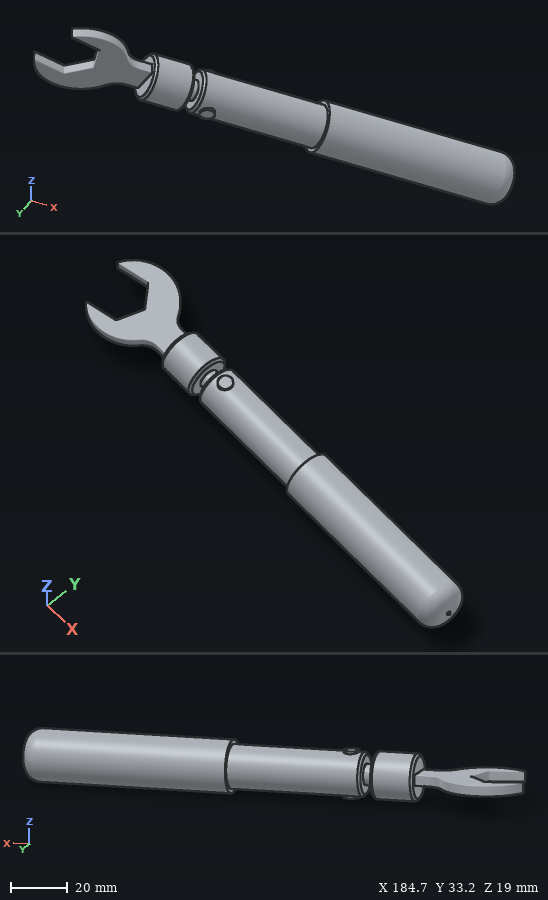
import cadquery as cq
import math

total_length = 184.7
collar_start = 40.3
collar_end = 56.0
body_start = 59.7
handle_start = 108.6
handle_end = 184.0
nub_radius = total_length - handle_end

collar_radius = 8.5
neck_radius = 7.5 / 2
body_radius = 8.0
handle_radius = 19.0 / 2
edge_chamfer = 1.0
handle_end_round = 5.4

pin_x = 65.0
pin_radius = 2.8
pin_half_length = 8.5

plate_thickness = 3.9
plate_edge_round = 0.4
head_radius = 16.6
head_x = 15.3
head_y = 0.46
shank_half_width = 5.5
shank_fillet = 7.4

jaw_x = 10.0
jaw_y = -1.2
jaw_across_flats = 19.0
jaw_angle = 12.6
jaw_corner_radius = jaw_across_flats / 2 / math.cos(math.pi / 6)


def cylinder_along_x(start, end, radius):
    return cq.Workplane("YZ", origin=(start, 0, 0)).circle(radius).extrude(end - start)


def upright_edges_between(start, end):
    """Selector for the plate edges lying between two stations along X."""
    return cq.selectors.BoxSelector(
        (start, -2 * head_radius, -plate_thickness),
        (end, 2 * head_radius, plate_thickness),
    )


def make_wrench_head():
    """Round head blended into a straight shank, with the hexagonal jaw cut out."""
    head = cq.Workplane("XY").center(head_x, head_y).circle(head_radius)
    head = head.extrude(plate_thickness / 2, both=True)
    shank_length = collar_end - head_x
    shank = cq.Workplane("XY").center(head_x + shank_length / 2, 0)
    shank = shank.rect(shank_length, 2 * shank_half_width)
    head = head.union(shank.extrude(plate_thickness / 2, both=True))

    joints = upright_edges_between(head_x, collar_start)
    head = head.edges("|Z").edges(joints).fillet(shank_fillet)

    hexagon = cq.Workplane("XY").polygon(6, 2 * jaw_corner_radius)
    hexagon = hexagon.extrude(plate_thickness, both=True)
    mouth_length = 2 * head_radius
    mouth = cq.Workplane("XY").center(-mouth_length / 2, 0)
    mouth = mouth.rect(mouth_length, jaw_across_flats).extrude(plate_thickness, both=True)
    jaw = hexagon.union(mouth).rotate((0, 0, 0), (0, 0, 1), jaw_angle)
    head = head.cut(jaw.translate((jaw_x, jaw_y, 0)))

    corners = upright_edges_between(jaw_x - head_radius, jaw_x + jaw_corner_radius)
    head = head.edges("|Z").edges(corners).fillet(plate_edge_round)
    return head.faces("<Z or >Z").edges().fillet(plate_edge_round)


def make_collar():
    collar = cylinder_along_x(collar_start, collar_end, collar_radius)
    return collar.faces("<X or >X").edges().chamfer(edge_chamfer)


def make_body():
    body = cylinder_along_x(body_start, handle_start, body_radius)
    return body.faces("<X").edges().chamfer(edge_chamfer)


def make_handle():
    """Grip with a fully rounded rear edge."""
    handle = cylinder_along_x(handle_start, handle_end, handle_radius)
    return handle.faces(">X").edges().fillet(handle_end_round)


def make_pin():
    pin = cq.Workplane("XY").center(pin_x, 0).circle(pin_radius)
    return pin.extrude(pin_half_length, both=True)


neck = cylinder_along_x(collar_start, handle_start, neck_radius)
end_nub = cq.Workplane("XY").sphere(nub_radius).translate((handle_end, 0, 0))

result = make_wrench_head()
for piece in (make_collar(), neck, make_body(), make_pin(), make_handle(), end_nub):
    result = result.union(piece)